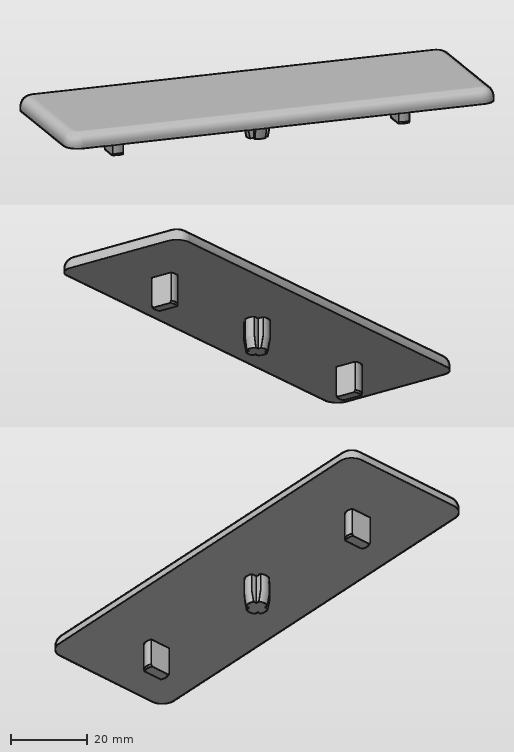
import cadquery as cq

length = 120.0
width = length / 3
plate_thickness = 4.0
corner_radius = 4.0
top_round = 3.0

peg_length = 8.5
peg_radius = 3.5
blade_thickness = 3.0
side_peg_offset = length / 3
side_tip_height = 0.6
side_tip_inset = 0.2
centre_tip_height = 3.2
centre_tip_inset = 0.6
plate_overlap = 1.2


def make_plate():
    """Flat plate with rounded corners and a rounded top rim."""
    block = cq.Workplane("XY").box(width, length, plate_thickness, centered=(True, True, False))
    return block.edges("|Z").fillet(corner_radius).faces(">Z").edges().fillet(top_round)


def tapered_pin(tip_height, tip_inset):
    """Round pin pointing down from the plate, with a conical tip."""
    return (
        cq.Workplane("XZ")
        .moveTo(0, plate_overlap)
        .lineTo(peg_radius, plate_overlap)
        .lineTo(peg_radius, tip_height - peg_length)
        .lineTo(peg_radius - tip_inset, -peg_length)
        .lineTo(0, -peg_length)
        .close()
        .revolve(360, (0, 0), (0, 1))
    )


def blade():
    """Slab across X that trims a pin to a flat-sided blade."""
    slab_height = 2 * peg_length
    return cq.Workplane("XY").box(2 * peg_radius, blade_thickness, slab_height)


def side_peg():
    """Flat peg with curved ends that taper slightly at the tip."""
    return tapered_pin(side_tip_height, side_tip_inset).intersect(blade())


def centre_peg():
    """Cross-shaped peg with a long conical lead-in."""
    cross = blade().union(blade().rotate((0, 0, 0), (0, 0, 1), 90))
    return tapered_pin(centre_tip_height, centre_tip_inset).intersect(cross)


result = make_plate().union(centre_peg())
for side in (-1, 1):
    result = result.union(side_peg().translate((0, side * side_peg_offset, 0)))